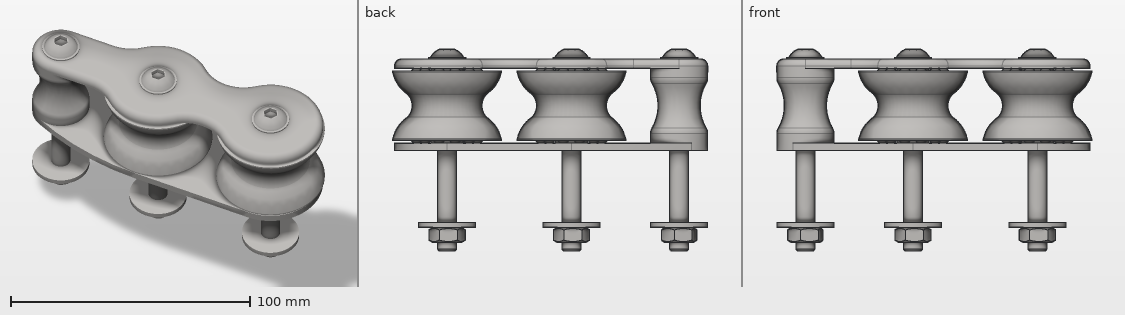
import cadquery as cq
import math

overall_length = 131.7
post_radius = 24.0 / 2
roller_radius = 45.4 / 2
roller_spacing = 52.0
far_roller_x = overall_length - post_radius - roller_radius
near_roller_x = far_roller_x - roller_spacing
roller_places = (near_roller_x, far_roller_x)
bolt_places = (0, near_roller_x, far_roller_x)

base_thickness = 3.2
cover_bottom = 34.4
cover_thickness = 4.0
cover_top = cover_bottom + cover_thickness
mid_height = (base_thickness + cover_bottom) / 2

plate_end_radius = 22.0
cover_fillet = 3.0

waist_radius = 8.8
waist_half_height = 9.3
shoulder_half_height = 11.7
shoulder_lip_radius = 11.3

roller_height = 29.1
rim_height = 0.7
throat_radius = 14.6
throat_half_height = 4.7
throat_end_radius = 16.5
flare_mid_radius = 20.5
flare_mid_half_height = 8.8
hub_diameter = 13.5

ball_count = 12
ball_radius = 2.5
ball_circle_radius = 13.0
ball_sink = 0.4

bolt_diameter = 8.0
bolt_end = -42.0
bolt_chamfer = 0.8
flange_diameter = 15.7
flange_height = 0.7
dome_radius = 14.0 / 2
dome_top_radius = 3.2
dome_height = 3.4
dome_mid_radius = 5.5
dome_mid_height = 1.8
socket_across_flats = 5.3
socket_depth = 2.1
socket_cone_depth = 1.3

washer_diameter = 24.0
washer_thickness = 2.1
washer_top = -30.0
washer_bottom = washer_top - washer_thickness
nut_corner_radius = 7.6
nut_height = 6.3
nut_face_radius = 5.9
nut_chamfer_height = 1.0
nut_turns = (15, 5, 5)


def base_plate():
    """Flat plate with a round right end and sides that curve in to touch the post."""
    drop = plate_end_radius - post_radius
    side_radius = (near_roller_x**2 + plate_end_radius**2 - post_radius**2) / (2 * drop)
    side_center_y = plate_end_radius - side_radius
    center_to_post = side_radius - post_radius
    touch_x = -post_radius * near_roller_x / center_to_post
    touch_y = -post_radius * side_center_y / center_to_post
    half_turn = math.asin((near_roller_x - touch_x) / side_radius) / 2
    mid_x = near_roller_x - side_radius * math.sin(half_turn)
    mid_y = side_center_y + side_radius * math.cos(half_turn)
    return (
        cq.Workplane("XY")
        .moveTo(touch_x, -touch_y)
        .threePointArc((mid_x, -mid_y), (near_roller_x, -plate_end_radius))
        .lineTo(far_roller_x, -plate_end_radius)
        .threePointArc((far_roller_x + plate_end_radius, 0), (far_roller_x, plate_end_radius))
        .lineTo(near_roller_x, plate_end_radius)
        .threePointArc((mid_x, mid_y), (touch_x, touch_y))
        .close()
        .extrude(base_thickness)
    )


def cover_plate():
    """Plate with round lobes over the rollers, joined by hollow arcs tangent to them."""
    half = roller_spacing / 2
    bulge = plate_end_radius - post_radius
    hollow_radius = (half**2 + post_radius**2 - plate_end_radius**2) / (2 * bulge)
    hollow_center_y = post_radius + hollow_radius
    lobe_share = plate_end_radius / (plate_end_radius + hollow_radius)
    join_dx = half * lobe_share
    join_y = hollow_center_y * lobe_share
    straight_end = near_roller_x - half
    hollow_x = near_roller_x + half
    half_turn = math.atan2(half, hollow_center_y) / 2
    entry_x = straight_end + hollow_radius * math.sin(half_turn)
    entry_y = hollow_center_y - hollow_radius * math.cos(half_turn)
    plate = (
        cq.Workplane("XY", origin=(0, 0, cover_bottom))
        .moveTo(0, -post_radius)
        .lineTo(straight_end, -post_radius)
        .threePointArc((entry_x, -entry_y), (near_roller_x - join_dx, -join_y))
        .threePointArc((near_roller_x, -plate_end_radius), (near_roller_x + join_dx, -join_y))
        .threePointArc((hollow_x, -post_radius), (far_roller_x - join_dx, -join_y))
        .threePointArc((far_roller_x + plate_end_radius, 0), (far_roller_x - join_dx, join_y))
        .threePointArc((hollow_x, post_radius), (near_roller_x + join_dx, join_y))
        .threePointArc((near_roller_x, plate_end_radius), (near_roller_x - join_dx, join_y))
        .threePointArc((entry_x, entry_y), (straight_end, post_radius))
        .lineTo(0, post_radius)
        .threePointArc((-post_radius, 0), (0, -post_radius))
        .close()
        .extrude(cover_thickness)
    )
    return plate.faces(">Z").edges().fillet(cover_fillet)


def post():
    """Waisted post; short rounded shoulders lead from the full radius into the waist."""
    shoulder_rise = shoulder_half_height - waist_half_height
    lip_depth = post_radius - shoulder_lip_radius
    round_radius = (shoulder_rise**2 + lip_depth**2) / (2 * lip_depth)
    return (
        cq.Workplane("XZ")
        .lineTo(post_radius, 0)
        .lineTo(post_radius, mid_height - shoulder_half_height)
        .radiusArc((shoulder_lip_radius, mid_height - waist_half_height), -round_radius)
        .threePointArc((waist_radius, mid_height), (shoulder_lip_radius, mid_height + waist_half_height))
        .radiusArc((post_radius, mid_height + shoulder_half_height), -round_radius)
        .lineTo(post_radius, cover_bottom)
        .lineTo(0, cover_bottom)
        .close()
        .revolve(360, (0, 0, 0), (0, 1, 0))
    )


def roller():
    """Grooved roller with a hub that reaches both plates and balls peeping out of each face."""
    half = roller_height / 2
    flare_end = half - rim_height
    body = (
        cq.Workplane("XZ")
        .moveTo(0, -half)
        .lineTo(roller_radius, -half)
        .lineTo(roller_radius, -flare_end)
        .threePointArc((flare_mid_radius, -flare_mid_half_height), (throat_end_radius, -throat_half_height))
        .threePointArc((throat_radius, 0), (throat_end_radius, throat_half_height))
        .threePointArc((flare_mid_radius, flare_mid_half_height), (roller_radius, flare_end))
        .lineTo(roller_radius, half)
        .lineTo(0, half)
        .close()
        .revolve(360, (0, 0, 0), (0, 1, 0))
    )
    gap_between_plates = cover_bottom - base_thickness
    hub = cq.Workplane("XY").circle(hub_diameter / 2).extrude(gap_between_plates / 2, both=True)
    ball_height = gap_between_plates / 2 + ball_sink - ball_radius
    assembled = body.union(hub)
    for level in (-ball_height, ball_height):
        ring = cq.Workplane("XY", origin=(0, 0, level)).polarArray(
            ball_circle_radius, 180 / ball_count, 360, ball_count
        )
        assembled = assembled.union(ring.sphere(ball_radius))
    return assembled.translate((0, 0, mid_height))


def bolt():
    """Flanged button-head bolt with a hexagon socket that ends in a drill cone."""
    flange_top = cover_top + flange_height
    head_top = flange_top + dome_height
    shank = (
        cq.Workplane("XY", origin=(0, 0, bolt_end))
        .circle(bolt_diameter / 2)
        .extrude(cover_top - bolt_end)
        .faces("<Z")
        .chamfer(bolt_chamfer)
    )
    flange = cq.Workplane("XY", origin=(0, 0, cover_top)).circle(flange_diameter / 2).extrude(flange_height)
    dome = (
        cq.Workplane("XZ")
        .moveTo(0, flange_top)
        .lineTo(dome_radius, flange_top)
        .threePointArc((dome_mid_radius, flange_top + dome_mid_height), (dome_top_radius, head_top))
        .lineTo(0, head_top)
        .close()
        .revolve(360, (0, 0, 0), (0, 1, 0))
    )
    socket_floor = head_top - socket_depth
    socket_corners = socket_across_flats / math.cos(math.pi / 6)
    socket = cq.Workplane("XY", origin=(0, 0, socket_floor)).polygon(6, socket_corners).extrude(socket_depth)
    drill_cone = cq.Workplane(
        cq.Solid.makeCone(
            socket_across_flats / 2, 0, socket_cone_depth, cq.Vector(0, 0, socket_floor), cq.Vector(0, 0, -1)
        )
    )
    return shank.union(flange).union(dome).cut(socket).cut(drill_cone)


def washer():
    return cq.Workplane("XY", origin=(0, 0, washer_bottom)).circle(washer_diameter / 2).extrude(washer_thickness)


def nut(turn):
    """Hexagon nut under the washer, its corners bevelled by a cone at both ends."""
    nut_bottom = washer_bottom - nut_height
    hexagon = (
        cq.Workplane("XY", origin=(0, 0, nut_bottom))
        .polygon(6, 2 * nut_corner_radius)
        .extrude(nut_height)
        .rotate((0, 0, 0), (0, 0, 1), turn)
    )
    bevel = (
        cq.Workplane("XZ")
        .moveTo(0, nut_bottom)
        .lineTo(nut_face_radius, nut_bottom)
        .lineTo(nut_corner_radius, nut_bottom + nut_chamfer_height)
        .lineTo(nut_corner_radius, washer_bottom - nut_chamfer_height)
        .lineTo(nut_face_radius, washer_bottom)
        .lineTo(0, washer_bottom)
        .close()
        .revolve(360, (0, 0, 0), (0, 1, 0))
    )
    return hexagon.intersect(bevel)


result = base_plate().union(post()).union(cover_plate())
for x in roller_places:
    result = result.union(roller().translate((x, 0, 0)))
for x, nut_turn in zip(bolt_places, nut_turns):
    fastener = bolt().union(washer()).union(nut(nut_turn))
    result = result.union(fastener.translate((x, 0, 0)))